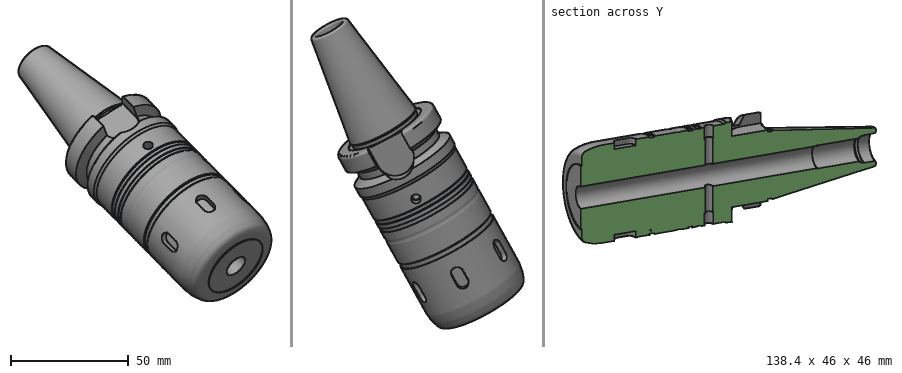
import cadquery as cq
import math

total_length = 138.4

arc_mid_ratio = 1 - math.sqrt(0.5)

taper_length = 48.5
gauge_diameter = 31.7
taper_rate = 7 / 24
taper_tip_diameter = gauge_diameter - taper_rate * taper_length
tip_fillet = 1.0
neck_diameter = 30.9
neck_start = 49.1

flange_diameter = 46.0
flange_start = 50.2
flange_fillet = 1.2
v_groove_diameter = 38.2
v_groove_left = 58.0
v_groove_floor_left = 60.3
v_groove_floor_right = 63.7
v_groove_right = 65.9
flange_end = 70.2
flange_end_chamfer = 1.4

recess_diameter = 34.9
recess_depth = 0.5

body_diameter = 45.0
groove_diameter = 44.0
shallow_groove_diameter = 44.5
groove_wall = 0.4
groove_1_start, groove_1_end = 81.8, 84.1
groove_2_start, groove_2_end = 86.1, 87.9
seam_start, seam_end = 91.6, 93.8
groove_3_start, groove_3_end = 103.7, 106.2

nose_start = 129.3
nose_cone_start = 133.8
nose_cone_start_diameter = 43.5
nose_cone_end = 135.9
nose_cone_end_diameter = 42.1
nose_face = 138.0
nose_face_diameter = 37.0
collar_diameter = 29.0

bore_diameter = 10.0
thread_minor_diameter = 10.4
thread_major_diameter = 12.0
entry_diameter = 12.5
mouth_fillet = 1.1
entry_depth = 5.8
thread_start = 7.2
thread_end = 27.7

keyway_width = 16.2
keyway_floor = 16.3
keyway_end = 67.5

cross_hole_diameter = 3.5
cross_hole_mouth_diameter = 4.0
cross_hole_mouth_depth = 5.5
cross_hole_x = 78.3

slot_count = 6
slot_length = 10.0
slot_width = 5.3
slot_center_x = 117.6
slot_floor = 19.7


def turned_body():
    """Half profile of the outside, revolved about X."""
    body_r = body_diameter / 2
    shallow_groove_r = shallow_groove_diameter / 2
    groove_r = groove_diameter / 2
    flange_r = flange_diameter / 2
    neck_r = neck_diameter / 2
    recess_floor = flange_start + recess_depth
    tip_r = taper_tip_diameter / 2
    tip_mid_step = tip_fillet * arc_mid_ratio
    tip_mid = (tip_mid_step, tip_r - tip_mid_step)
    flange_mid_step = flange_fillet * arc_mid_ratio
    flange_mid = (flange_start + flange_mid_step, flange_r - flange_mid_step)
    seam_mid = (seam_start + seam_end) / 2
    profile = (
        cq.Workplane("XY")
        .moveTo(0, 0)
        .lineTo(0, tip_r - tip_fillet)
        .threePointArc(tip_mid, (tip_fillet, tip_r + tip_fillet * taper_rate / 2))
        .lineTo(taper_length, gauge_diameter / 2)
        .lineTo(neck_start, neck_r)
        .lineTo(recess_floor, neck_r)
        .lineTo(recess_floor, recess_diameter / 2)
        .lineTo(flange_start, recess_diameter / 2)
        .lineTo(flange_start, flange_r - flange_fillet)
        .threePointArc(flange_mid, (flange_start + flange_fillet, flange_r))
        .lineTo(v_groove_left, flange_r)
        .lineTo(v_groove_floor_left, v_groove_diameter / 2)
        .lineTo(v_groove_floor_right, v_groove_diameter / 2)
        .lineTo(v_groove_right, flange_r)
        .lineTo(flange_end, flange_r)
        .lineTo(flange_end + flange_end_chamfer, body_r)
        .lineTo(groove_1_start, body_r)
        .lineTo(groove_1_start + groove_wall, shallow_groove_r)
        .lineTo(groove_1_end - groove_wall, shallow_groove_r)
        .lineTo(groove_1_end, body_r)
        .lineTo(groove_2_start, body_r)
        .lineTo(groove_2_start, groove_r)
        .lineTo(groove_2_end, groove_r)
        .lineTo(groove_2_end, body_r)
        .lineTo(seam_start, body_r)
        .threePointArc((seam_mid, shallow_groove_r), (seam_end, body_r))
        .lineTo(groove_3_start, body_r)
        .lineTo(groove_3_start + groove_wall, groove_r)
        .lineTo(groove_3_end, groove_r)
        .lineTo(groove_3_end, body_r)
        .lineTo(nose_start, body_r)
        .tangentArcPoint((nose_cone_start, nose_cone_start_diameter / 2), relative=False)
        .lineTo(nose_cone_end, nose_cone_end_diameter / 2)
        .tangentArcPoint((nose_face, nose_face_diameter / 2), relative=False)
        .lineTo(nose_face, collar_diameter / 2)
        .lineTo(total_length, collar_diameter / 2)
        .lineTo(total_length, 0)
        .close()
    )
    return profile.revolve(360, (0, 0, 0), (1, 0, 0))


def axial_bore():
    """Rounded entry, chamfered thread hole cut to its minor diameter and a through bore."""
    entry_r = entry_diameter / 2
    thread_chamfer = (thread_major_diameter - thread_minor_diameter) / 2
    mouth_mid_step = mouth_fillet * arc_mid_ratio
    profile = (
        cq.Workplane("XY")
        .moveTo(0, 0)
        .lineTo(0, entry_r + mouth_fillet)
        .threePointArc((mouth_mid_step, entry_r + mouth_mid_step), (mouth_fillet, entry_r))
        .lineTo(entry_depth, entry_r)
        .lineTo(entry_depth, thread_major_diameter / 2)
        .lineTo(thread_start, thread_major_diameter / 2)
        .lineTo(thread_start + thread_chamfer, thread_minor_diameter / 2)
        .lineTo(thread_end, thread_minor_diameter / 2)
        .lineTo(thread_end, bore_diameter / 2)
        .lineTo(total_length, bore_diameter / 2)
        .lineTo(total_length, 0)
        .close()
    )
    return profile.revolve(360, (0, 0, 0), (1, 0, 0))


def keyway():
    """Round-ended drive slot above the keyway floor, open toward the taper."""
    end_center = keyway_end - keyway_width / 2
    height = flange_diameter / 2
    straight = (
        cq.Workplane("XY", origin=(taper_length, 0, keyway_floor))
        .rect(end_center - taper_length, keyway_width, centered=(False, True))
        .extrude(height)
    )
    rounded = (
        cq.Workplane("XY", origin=(end_center, 0, keyway_floor))
        .circle(keyway_width / 2)
        .extrude(height)
    )
    return straight.union(rounded)


def cross_hole():
    """Hole along Z through both walls, widened where it meets the outside."""
    body_r = body_diameter / 2
    through = (
        cq.Workplane("XY", origin=(cross_hole_x, 0, 0))
        .circle(cross_hole_diameter / 2)
        .extrude(body_r, both=True)
    )
    for end in (1, -1):
        mouth = (
            cq.Workplane("XY", origin=(cross_hole_x, 0, end * body_r))
            .circle(cross_hole_mouth_diameter / 2)
            .extrude(-end * cross_hole_mouth_depth)
        )
        through = through.union(mouth)
    return through


def spanner_slot():
    """Flat-bottomed round-ended slot in the top of the body."""
    return (
        cq.Workplane("XY", origin=(slot_center_x, 0, slot_floor))
        .slot2D(slot_length, slot_width)
        .extrude(body_diameter / 2)
    )


result = turned_body().cut(axial_bore()).cut(cross_hole())
for angle in (0, 180):
    result = result.cut(keyway().rotate((0, 0, 0), (1, 0, 0), angle))
for index in range(slot_count):
    angle = index * 360 / slot_count
    result = result.cut(spanner_slot().rotate((0, 0, 0), (1, 0, 0), angle))